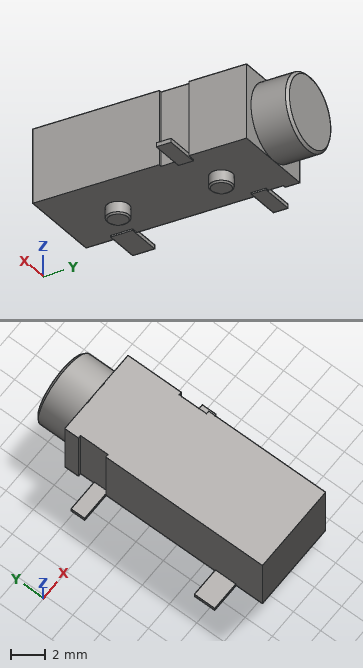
import cadquery as cq

body_width = 6.0
body_length = 14.5
body_height = 5.0

barrel_length = 17 - body_length
barrel_diameter = body_height
barrel_chamfer = 0.17

notch_length = 2.0
notch_depth = 0.2
left_notch_start = 1.0
right_notch_start = 3.91

tab_span = 10.0
tab_thickness = 0.27
tab_drop = 0.1
tab_length = 2.5
narrow_tab_width = 1.0
wide_tab_width = 1.5
rear_tab_start = 11.05

peg_diameter = 1.5
peg_height = 0.8
peg_chamfer = 0.1
front_peg_distance = 3.52
peg_spacing = 7.0

LEFT = -1
RIGHT = 1


def side_block(side, outer_x, length_x, start, width, bottom, height):
    """Box reaching inward from outer_x, starting a distance behind the front face."""
    return cq.Workplane("XY").box(length_x, width, height, centered=(True, True, False)).translate(
        (side * (outer_x - length_x / 2), -start - width / 2, bottom)
    )


def notch(side, start):
    return side_block(side, body_width / 2, notch_depth, start, notch_length, 0, body_height)


def tab(side, start, width):
    return side_block(side, tab_span / 2, tab_length, start, width, -tab_drop, tab_thickness)


def peg(distance):
    """Peg below the body, chamfered at its lower end."""
    return (
        cq.Workplane("XY")
        .center(0, -distance)
        .circle(peg_diameter / 2)
        .extrude(-peg_height)
        .faces("<Z")
        .chamfer(peg_chamfer)
    )


body = cq.Workplane("XY").box(body_width, body_length, body_height).translate(
    (0, -body_length / 2, body_height / 2)
)
body = body.cut(notch(LEFT, left_notch_start)).cut(notch(RIGHT, right_notch_start))

barrel = (
    cq.Workplane("XZ", origin=(0, 0, body_height / 2))
    .circle(barrel_diameter / 2)
    .extrude(-barrel_length)
    .faces(">Y")
    .chamfer(barrel_chamfer)
)
result = body.union(barrel)

left_tab_start = left_notch_start + notch_length - narrow_tab_width
result = result.union(tab(LEFT, left_tab_start, narrow_tab_width))
result = result.union(tab(RIGHT, right_notch_start, narrow_tab_width))
result = result.union(tab(LEFT, rear_tab_start, wide_tab_width))

for distance in (front_peg_distance, front_peg_distance + peg_spacing):
    result = result.union(peg(distance))